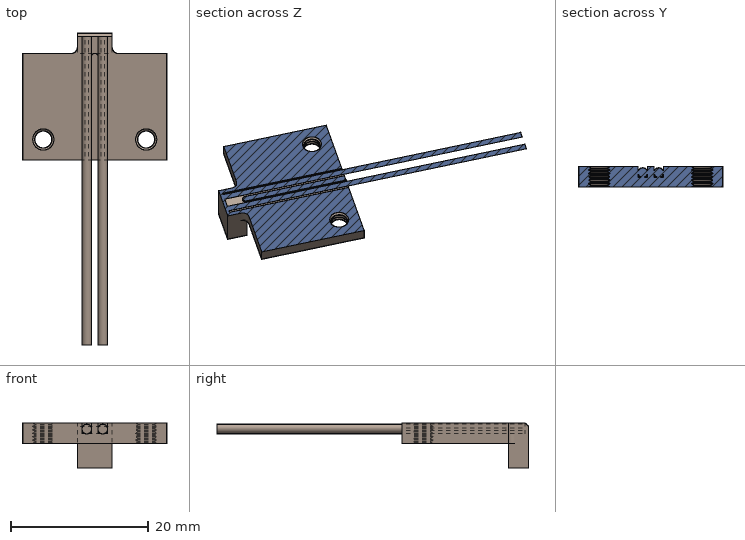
import cadquery as cq

total_length = 45.5
total_height = 6.6

plate_width = 21.0
plate_thickness = 3.0
plate_front = -18.5

tongue_width = 5.1
tongue_depth = 2.95
corner_radius = 0.9
rear_chamfer = 0.5

cable_diameter = 1.4
cable_spacing = 2.3
cable_top_depth = 0.2
groove_width = 1.35
groove_depth = 1.55
cable_offsets = (-cable_spacing / 2, cable_spacing / 2)
cable_axis_z = -cable_top_depth - cable_diameter / 2

hole_inset = 3.0
thread_minor_radius = 1.25
thread_major_radius = 1.55
thread_turns = 6
thread_pitch = plate_thickness / thread_turns
thread_crest_flat = thread_pitch / 4


def make_body():
    """Plate and rear tongue, filleted where they meet, with the block below."""
    plate_depth = -plate_front - tongue_depth
    plate = cq.Workplane("XY").box(
        plate_width, plate_depth, plate_thickness, centered=(True, False, False)
    ).translate((0, plate_front, -plate_thickness))
    block = cq.Workplane("XY").box(
        tongue_width, tongue_depth, total_height, centered=(True, False, False)
    ).translate((0, -tongue_depth, -total_height))
    body = plate.union(block)
    for side in (-1, 1):
        body = body.union(make_corner(side))
    return body.faces(">Y").edges(">Z").chamfer(rear_chamfer)


def make_corner(side):
    """Concave fillet between the plate's rear edge and one side of the tongue."""
    inner_x = side * tongue_width / 2
    outer_x = inner_x + side * corner_radius
    rear_y = -tongue_depth + corner_radius
    diagonal = corner_radius * (1 - 0.5 ** 0.5)
    return (
        cq.Workplane("XY")
        .moveTo(inner_x, -tongue_depth)
        .lineTo(outer_x, -tongue_depth)
        .threePointArc((inner_x + side * diagonal, -tongue_depth + diagonal), (inner_x, rear_y))
        .close()
        .extrude(-plate_thickness)
    )


def make_cable_pocket():
    """Two grooves joined at the rear, leaving a round-tipped island between them."""
    pocket_width = cable_spacing + groove_width
    pocket_length = -plate_front - rear_chamfer
    pocket = cq.Workplane("XY").box(
        pocket_width, pocket_length, groove_depth, centered=(True, False, False)
    ).translate((0, plate_front, -groove_depth))
    island_half = (cable_spacing - groove_width) / 2
    tip_y = -tongue_depth
    island = (
        cq.Workplane("XY")
        .moveTo(-island_half, plate_front)
        .lineTo(-island_half, tip_y - island_half)
        .threePointArc((0, tip_y), (island_half, tip_y - island_half))
        .lineTo(island_half, plate_front)
        .close()
        .extrude(-groove_depth)
    )
    return pocket.cut(island)


def make_cables():
    """Round cables from the rear pocket wall to the free front ends."""
    return (
        cq.Workplane("XZ", origin=(0, -rear_chamfer, 0))
        .pushPoints([(x, cable_axis_z) for x in cable_offsets])
        .circle(cable_diameter / 2)
        .extrude(total_length - rear_chamfer)
    )


def make_threaded_hole(x, y):
    """Cutter for one through hole: one tapered ring per thread turn."""
    profile = cq.Workplane("XZ").lineTo(thread_major_radius, 0)
    for turn in range(thread_turns):
        top = -turn * thread_pitch
        crest_middle = top - thread_pitch / 2
        profile = profile.lineTo(thread_minor_radius, crest_middle + thread_crest_flat / 2)
        profile = profile.lineTo(thread_minor_radius, crest_middle - thread_crest_flat / 2)
        profile = profile.lineTo(thread_major_radius, top - thread_pitch)
    profile = profile.lineTo(0, -plate_thickness).close()
    return profile.revolve(360, (0, 0), (0, 1)).translate((x, y, 0))


hole_x = plate_width / 2 - hole_inset
hole_y = plate_front + hole_inset

result = make_body().cut(make_cable_pocket()).union(make_cables())
for side in (-1, 1):
    result = result.cut(make_threaded_hole(side * hole_x, hole_y))